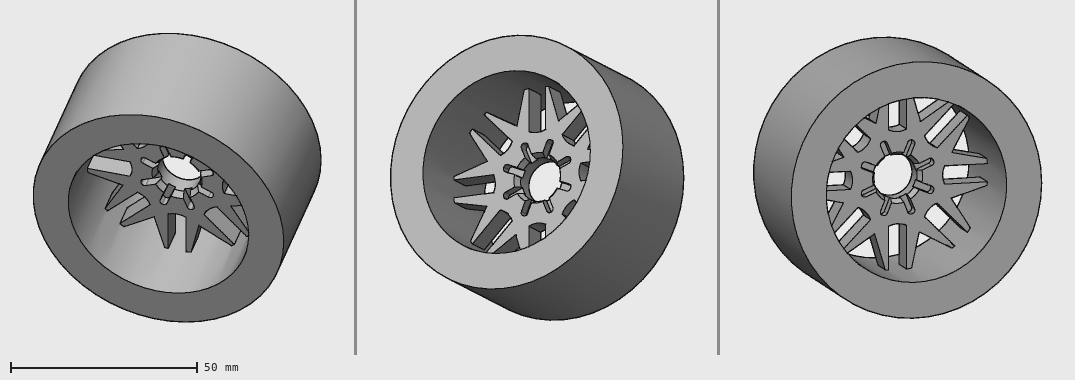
import cadquery as cq
import math

outer_diameter = 70.0
width = 36.0
outer_radius = outer_diameter / 2
rim_inner_radius = 25.2
front_y = -width / 2

web_front_y = 0.0
web_depth = 7.0

bore_radius = 6.0
mouth_radius = 7.0
mouth_depth = 2.0

opening_count = 8
pitch_angle = 360 / opening_count

window_width = 5.0
window_inner_radius = 12.6
window_corner_radius = 13.15

triangle_apex_radius = 16.3
triangle_apex_angle = 21.8
triangle_middle_angle = 23.0
triangle_half_angle = 14.1

key_width = 2.0
key_tip_radius = 10.85
key_corner_radius = 0.9
key_depth = 3.0


def section(y):
    """Sketch plane square to the wheel axis at position y."""
    return cq.Workplane("XZ", origin=(0, y, 0))


def cylinder(radius, y, length):
    """Solid cylinder on the axis running backwards from y."""
    return section(y).circle(radius).extrude(-length)


def polar(radius, angle):
    """Point on a section plane from its radius and angle in degrees."""
    return radius * math.cos(math.radians(angle)), radius * math.sin(math.radians(angle))


def around_axis(body, start_angle=0.0):
    """Copies of one body, evenly spaced around the wheel axis."""
    turns = [start_angle + i * pitch_angle for i in range(opening_count)]
    return [body.rotate((0, 0, 0), (0, 1, 0), turn) for turn in turns]


def make_window():
    half = window_width / 2
    window_end = math.sqrt(rim_inner_radius**2 - half**2)
    return (
        section(web_front_y)
        .moveTo(window_end, half)
        .lineTo(window_corner_radius, half)
        .threePointArc((window_inner_radius, 0), (window_corner_radius, -half))
        .lineTo(window_end, -half)
        .threePointArc((rim_inner_radius, 0), (window_end, half))
        .close()
        .extrude(-web_depth)
    )


def make_triangle():
    return (
        section(web_front_y)
        .moveTo(*polar(triangle_apex_radius, triangle_apex_angle))
        .lineTo(*polar(rim_inner_radius, triangle_middle_angle - triangle_half_angle))
        .threePointArc(
            polar(rim_inner_radius, triangle_middle_angle),
            polar(rim_inner_radius, triangle_middle_angle + triangle_half_angle),
        )
        .close()
        .extrude(-web_depth)
    )


def make_keyway():
    return (
        section(web_front_y)
        .center(key_tip_radius / 2, 0)
        .rect(key_tip_radius, key_width)
        .extrude(-key_depth)
        .edges("|Y and >X")
        .fillet(key_corner_radius)
    )


def make_tapered_mouth():
    return (
        section(web_front_y)
        .circle(mouth_radius)
        .workplane(offset=-mouth_depth)
        .circle(bore_radius)
        .loft()
    )


openings = around_axis(make_window()) + around_axis(make_triangle())
openings += around_axis(make_keyway(), pitch_angle / 2)

web = cylinder(rim_inner_radius, web_front_y, web_depth)
web = web.cut(cylinder(bore_radius, web_front_y, web_depth))
web = web.cut(make_tapered_mouth())
for opening in openings:
    web = web.cut(opening)

rim = cylinder(outer_radius, front_y, width).cut(cylinder(rim_inner_radius, front_y, width))
result = rim.union(web)